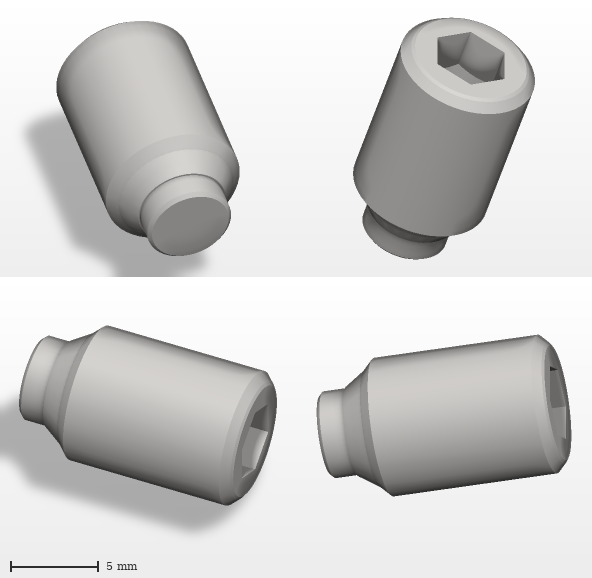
import cadquery as cq
import math

length = 13.6
body_radius = 4.0

face_radius = 3.32
rim_depth = 0.12
rim_radius = 3.51
socket_chamfer_length = 0.61

point_radius = 2.5
point_length = 1.6
point_chamfer = 0.22
neck_radius = 2.61
neck_cone_length = 1.2
shoulder_chamfer = 0.6

socket_across_flats = 4.0
socket_depth = 2.5
socket_cone_angle = 120.0

half_length = length / 2
point_start = half_length - point_length
neck_cone_start = point_start - neck_cone_length
body_end = neck_cone_start - shoulder_chamfer


def make_body():
    """Revolve the half outline about the X axis."""
    outline = [
        (-half_length, 0),
        (-half_length, face_radius),
        (-half_length + rim_depth, rim_radius),
        (-half_length + socket_chamfer_length, body_radius),
        (body_end, body_radius),
        (neck_cone_start, body_radius - shoulder_chamfer),
        (point_start, neck_radius),
        (point_start, point_radius),
        (half_length - point_chamfer, point_radius),
        (half_length, point_radius - point_chamfer),
        (half_length, 0),
    ]
    return cq.Workplane("XY").polyline(outline).close().revolve(360, (0, 0, 0), (1, 0, 0))


def make_socket():
    """Hexagon with corners up and down, closed by a cone that reaches its corners."""
    across_corners = socket_across_flats / math.cos(math.radians(30))
    hexagon = (
        cq.Workplane("YZ", origin=(-half_length, 0, 0))
        .transformed(rotate=(0, 0, 90))
        .polygon(6, across_corners)
        .extrude(length)
    )
    cone_radius = across_corners / 2
    cone_height = cone_radius / math.tan(math.radians(socket_cone_angle / 2))
    cone_base = -half_length + socket_depth
    bottom_cone = (
        cq.Workplane("XY")
        .polyline([
            (-half_length, 0),
            (-half_length, cone_radius),
            (cone_base, cone_radius),
            (cone_base + cone_height, 0),
        ])
        .close()
        .revolve(360, (0, 0, 0), (1, 0, 0))
    )
    return hexagon.intersect(bottom_cone)


result = make_body().cut(make_socket())